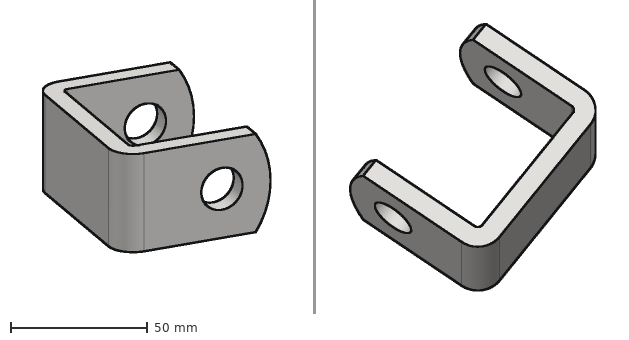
import cadquery as cq

width = 76.0
depth = 60.9
height = 39.0
thickness = 8.0
inner_bend_radius = 2.0
outer_bend_radius = inner_bend_radius + thickness

tip_rise = 6.0
hole_diameter = 16.6
hole_from_web = 41.3


def bent_strip():
    """U channel open toward +Y, with rounded bends."""
    outer = (
        cq.Workplane("XY")
        .box(width, depth, height, centered=(True, False, True))
        .edges("|Z and <Y")
        .fillet(outer_bend_radius)
    )
    inner = (
        cq.Workplane("XY")
        .box(width - 2 * thickness, depth, height, centered=(True, False, True))
        .edges("|Z and <Y")
        .fillet(inner_bend_radius)
        .translate((0, thickness, 0))
    )
    return outer.cut(inner)


def side_outline():
    """Side profile with arced tips, extruded across the full width."""
    corner_y = depth - tip_rise
    return (
        cq.Workplane("YZ")
        .moveTo(0, -height / 2)
        .lineTo(corner_y, -height / 2)
        .threePointArc((depth, 0), (corner_y, height / 2))
        .lineTo(0, height / 2)
        .close()
        .extrude(width / 2, both=True)
    )


def pivot_hole():
    """Cylinder along X that pierces both arms."""
    return (
        cq.Workplane("YZ")
        .center(hole_from_web, 0)
        .circle(hole_diameter / 2)
        .extrude(width / 2, both=True)
    )


result = bent_strip().intersect(side_outline()).cut(pivot_hole())